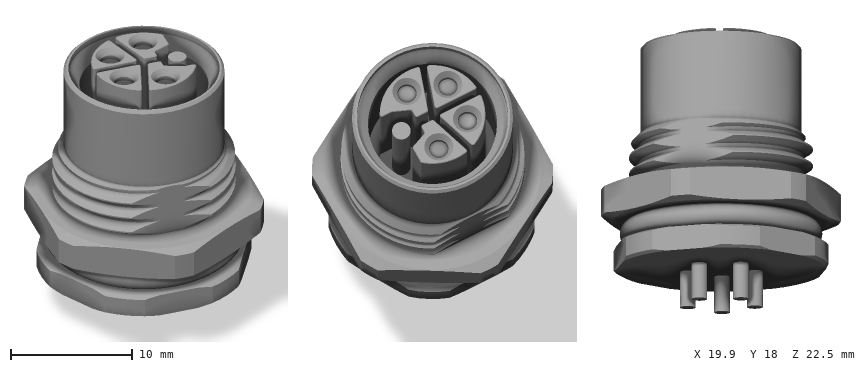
import cadquery as cq
import math

pin_length = 3.0
rear_hex_height = 2.0
seal_height = 2.0
front_hex_height = 2.8
thread_length = 4.65
insert_top = 22.5
sleeve_top = 21.8

rear_hex_bottom = pin_length
seal_bottom = rear_hex_bottom + rear_hex_height
front_hex_bottom = seal_bottom + seal_height
thread_bottom = front_hex_bottom + front_hex_height
thread_top = thread_bottom + thread_length

front_hex_flats = 18.0
front_hex_corner_radius = 9.95
front_hex_face_radius = 8.95
front_hex_bevel_height = 0.27
rear_hex_flats = 17.0
rear_hex_corner_radius = 9.0
rear_hex_face_radius = 8.65
rear_hex_bevel_height = 0.2
half_hex_angle = 30

seal_outer_radius = 8.37

thread_radius = 7.6
thread_root_radius = 6.83
thread_pitch = 25.4 / 18
thread_root_width = 0.3
thread_crest_width = 0.1
groove_phase_height = 0.07
groove_overshoot = 0.02
flats_width = 13.5

sleeve_radius = 6.65
sleeve_edge_chamfer = 0.22
bore_mouth_radius = 6.25
bore_mouth_depth = 0.55
bore_radius = 5.33
bore_cone_bottom = 20.3
bore_floor = 13.0
inner_seal_tube_radius = 0.7

insert_radius = 4.37
insert_edge_radius = 0.2
insert_top_chamfer = 0.06
slot_width = 0.58
key_slot_width = 0.8
key_floor = bore_floor + 1.0
key_bottom_y = 1.34
key_shoulder_y = 2.85
key_bottom_half_width = 1.15
key_shoulder_half_width = 1.77

contact_count = 5
contact_circle_radius = 2.92
contact_angles = [90 + index * 360 / contact_count for index in range(contact_count)]
socket_mouth_radius = 1.2
socket_radius = 0.8
socket_cone_depth = 0.5
socket_depth = 0.85
solder_pin_radius = 0.65
key_pin_radius = 0.77
key_pin_top = 22.3


def on_contact_circle(angle):
    radians = math.radians(angle)
    return (contact_circle_radius * math.cos(radians), contact_circle_radius * math.sin(radians))


def cylinder(radius, bottom, top, center=(0, 0)):
    return cq.Workplane("XY", origin=(*center, bottom)).circle(radius).extrude(top - bottom)


def revolved(points):
    return cq.Workplane("XZ").polyline(points).close().revolve(360, (0, 0), (0, 1))


def hex_flange(flats, corner_radius, face_radius, bevel_height, bottom, height):
    """Hexagon with corners on the Y axis, turned round and bevelled on both faces."""
    top = bottom + height
    turned_blank = revolved([
        (0, bottom),
        (face_radius, bottom),
        (corner_radius, bottom + bevel_height),
        (corner_radius, top - bevel_height),
        (face_radius, top),
        (0, top),
    ])
    prism = cq.Workplane("XY", origin=(0, 0, bottom)).polygon(6, flats, circumscribed=True).extrude(height)
    return prism.intersect(turned_blank)


def seal_ring():
    """Disc whose rim is the outer half of the O-ring."""
    tube_radius = seal_height / 2
    ring_radius = seal_outer_radius - tube_radius
    return (
        cq.Workplane("XZ")
        .moveTo(0, seal_bottom)
        .lineTo(ring_radius, seal_bottom)
        .threePointArc((seal_outer_radius, seal_bottom + tube_radius), (ring_radius, front_hex_bottom))
        .lineTo(0, front_hex_bottom)
        .close()
        .revolve(360, (0, 0), (0, 1))
    )


def thread_groove():
    """Helical trapezoidal cutter; it starts below the thread and runs out above it."""
    start = thread_bottom + groove_phase_height - thread_pitch
    length = thread_length + 2 * thread_pitch
    outer_radius = thread_radius + groove_overshoot
    half_root = thread_root_width / 2
    half_mouth = (thread_pitch - thread_crest_width) / 2
    helix = cq.Wire.makeHelix(thread_pitch, length, thread_root_radius, cq.Vector(0, 0, start))
    profile = cq.Workplane("XZ").polyline([
        (thread_root_radius, start - half_root),
        (outer_radius, start - half_mouth),
        (outer_radius, start + half_mouth),
        (thread_root_radius, start + half_root),
    ]).close()
    return profile.sweep(cq.Workplane(helix), isFrenet=True)


def threaded_body():
    lead_in = thread_radius - sleeve_radius
    envelope = revolved([
        (0, thread_bottom),
        (thread_radius, thread_bottom),
        (thread_radius, thread_top - lead_in),
        (sleeve_radius, thread_top),
        (0, thread_top),
    ])
    flats = (
        cq.Workplane("XY", origin=(0, 0, thread_bottom))
        .rect(flats_width, 2 * thread_radius)
        .extrude(thread_length)
    )
    threaded = cylinder(thread_radius, thread_bottom, thread_top).cut(thread_groove())
    return threaded.intersect(envelope.intersect(flats))


def sleeve():
    return cylinder(sleeve_radius, thread_top, sleeve_top).faces(">Z").chamfer(sleeve_edge_chamfer)


def bore():
    """Counterbored, tapered and then straight bore down to the inner O-ring."""
    return revolved([
        (0, bore_floor),
        (bore_radius, bore_floor),
        (bore_radius, bore_cone_bottom),
        (bore_mouth_radius, sleeve_top - bore_mouth_depth),
        (bore_mouth_radius, sleeve_top),
        (0, sleeve_top),
    ])


def inner_seal():
    """O-ring at the foot of the insert, squeezed by the wall and the floor of the bore."""
    ring_radius = insert_radius + inner_seal_tube_radius
    ring = cq.Workplane("XZ").center(ring_radius, bore_floor).circle(inner_seal_tube_radius)
    return ring.revolve(360, (-ring_radius, 0), (-ring_radius, 1)).intersect(bore())


def slot(width, angle):
    """Radial slot from the axis to beyond the rim of the insert."""
    length = 2 * insert_radius
    return (
        cq.Workplane("XY", origin=(0, 0, bore_floor))
        .center(length / 2, 0)
        .rect(length, width)
        .extrude(insert_top - bore_floor)
        .rotate((0, 0, 0), (0, 0, 1), angle)
    )


def key_recess():
    """Tapered keyway around the +Y contact, open to the -X side above its shoulder."""
    beyond_rim = 2 * insert_radius
    return (
        cq.Workplane("XY", origin=(0, 0, bore_floor))
        .polyline([
            (-key_bottom_half_width, key_bottom_y),
            (key_bottom_half_width, key_bottom_y),
            (key_shoulder_half_width, key_shoulder_y),
            (key_shoulder_half_width, beyond_rim),
            (-beyond_rim, beyond_rim),
            (-beyond_rim, key_shoulder_y),
            (-key_shoulder_half_width, key_shoulder_y),
        ])
        .close()
        .extrude(insert_top - bore_floor)
    )


def contact_blocks():
    """Four insulating blocks parted by radial slots and the keyway."""
    blocks = cylinder(insert_radius, bore_floor, insert_top)
    for angle in contact_angles[1:-1]:
        blocks = blocks.cut(slot(slot_width, angle + 180 / contact_count))
    blocks = blocks.cut(slot(key_slot_width, contact_angles[0])).cut(key_recess())
    blocks = blocks.edges("|Z").fillet(insert_edge_radius)
    return blocks.faces(">Z").chamfer(insert_top_chamfer)


def socket(angle):
    """Round contact hole with a conical mouth."""
    top = insert_top
    profile = [
        (0, top - socket_depth),
        (socket_radius, top - socket_depth),
        (socket_radius, top - socket_cone_depth),
        (socket_mouth_radius, top),
        (0, top),
    ]
    return revolved(profile).translate((*on_contact_circle(angle), 0))


def contact_insert():
    blocks = contact_blocks()
    for angle in contact_angles[1:]:
        blocks = blocks.cut(socket(angle))
    key_base = cylinder(insert_radius, bore_floor, key_floor).intersect(key_recess())
    key_pin = cylinder(key_pin_radius, bore_floor, key_pin_top, on_contact_circle(contact_angles[0]))
    return blocks.union(key_base).union(key_pin)


def housing():
    rear_hex = hex_flange(
        rear_hex_flats,
        rear_hex_corner_radius,
        rear_hex_face_radius,
        rear_hex_bevel_height,
        rear_hex_bottom,
        rear_hex_height,
    )
    front_hex = hex_flange(
        front_hex_flats,
        front_hex_corner_radius,
        front_hex_face_radius,
        front_hex_bevel_height,
        front_hex_bottom,
        front_hex_height,
    ).rotate((0, 0, 0), (0, 0, 1), half_hex_angle)
    body = rear_hex.union(seal_ring()).union(front_hex)
    return body.union(threaded_body()).union(sleeve()).cut(bore()).union(inner_seal())


result = housing().union(contact_insert())
for contact_angle in contact_angles:
    solder_pin = cylinder(solder_pin_radius, 0, seal_bottom, on_contact_circle(contact_angle))
    result = result.union(solder_pin)